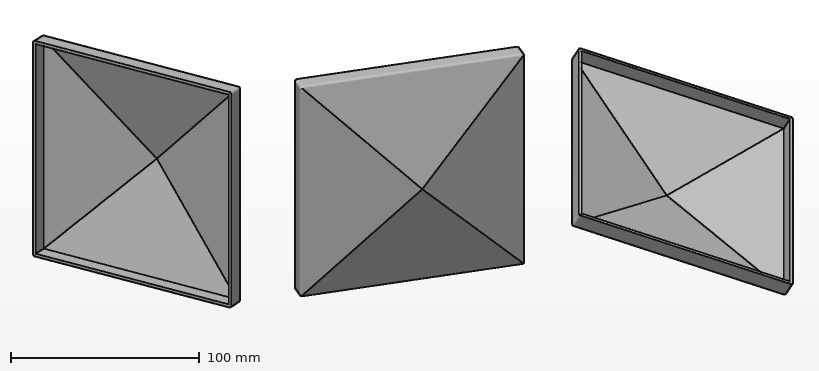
import cadquery as cq
import math

side = 125.0
height = 26.0
roof_angle = 15.0
wall = 1.8
edge_radius = 1.5

roof_slope = math.tan(math.radians(roof_angle))
skirt_depth = height - side / 2 * roof_slope

inner_side = side - 2 * wall
inner_height = height - wall / math.cos(math.radians(roof_angle))
inner_skirt_depth = inner_height - inner_side / 2 * roof_slope


def pyramid_block(width, skirt, apex):
    """Square block from y = 0 to the skirt depth, roofed by a pyramid up to the apex."""
    half = width / 2
    gable = (
        cq.Workplane("XY")
        .moveTo(-half, 0)
        .lineTo(half, 0)
        .lineTo(half, skirt)
        .lineTo(0, apex)
        .lineTo(-half, skirt)
        .close()
        .extrude(half, both=True)
    )
    turned_gable = gable.rotate((0, 0, 0), (0, 1, 0), 90)
    return gable.intersect(turned_gable)


def outer_body():
    """Solid outer shape with rounded corner edges and rounded eaves."""
    body = pyramid_block(side, skirt_depth, height)
    eaves = cq.selectors.BoxSelector(
        (-side, skirt_depth - edge_radius, -side),
        (side, skirt_depth + edge_radius, side),
    )
    corners = cq.selectors.ParallelDirSelector(cq.Vector(0, 1, 0))
    return body.edges(eaves + corners).fillet(edge_radius)


result = outer_body().cut(pyramid_block(inner_side, inner_skirt_depth, inner_height))